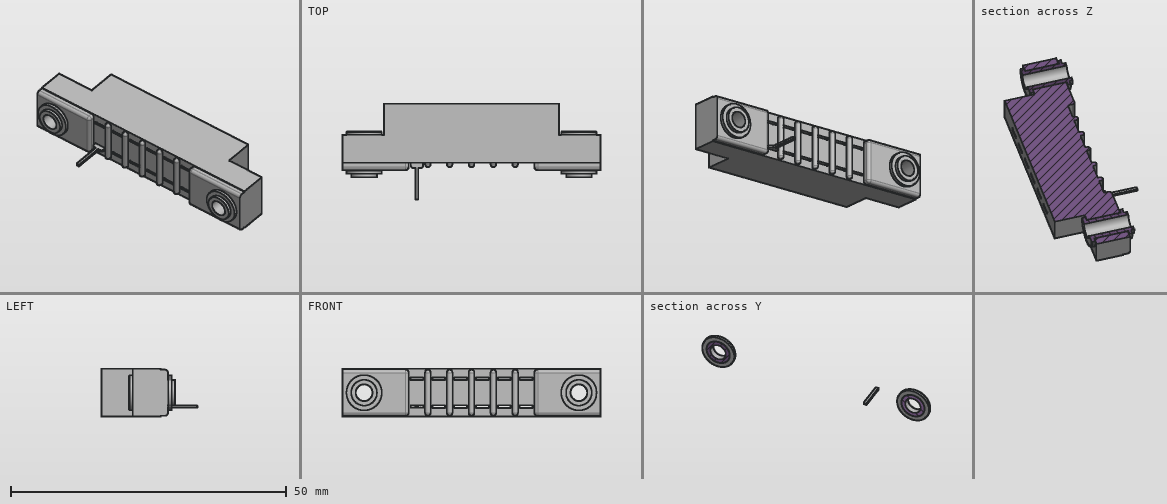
import cadquery as cq

LENGTH = 46.8
HEIGHT = 8.7
CARD_END_LENGTH = 31.72
BACK_Y = 10.7
EAR_BACK_Y = 5.05

PAD_LENGTH = 12.03
PAD_DEPTH = 1.35
PAD_INSET = 0.15
PAD_ROUND = 0.6

POSITION_COUNT = 6
ROW_LENGTH = 19.8
PITCH = ROW_LENGTH / (POSITION_COUNT - 1)
RIB_WIDTH = 1.05
RIB_DEPTH = 0.8
RIB_INSET = 0.2

SLOT_WIDTH = 2.25
SLOT_HEIGHT = 0.4
ROW_OFFSET = 2.55
CONTACT_HEAD_DEPTH = 1.0
CONTACT_HEAD_ROUND = 0.5
TAIL_WIDTH = 0.55
TAIL_END_Y = -6.7
TAIL_CHAMFER = 0.1

BUSHING_X = 19.45
BUSHING_DIAMETER = 4.7
BORE_DIAMETER = 3.0
FLANGE_DIAMETER = 6.4
BACK_FLANGE_THICKNESS = 0.7
FRONT_FLANGE_THICKNESS = 0.6
FRONT_FLANGE_GAP = 0.05
FLANGE_CHAMFER = 0.2
BUSHING_FRONT_Y = -2.6

contact_xs = [(i - (POSITION_COUNT - 1) / 2) * PITCH for i in range(POSITION_COUNT)]
rib_xs = [x + PITCH / 2 for x in contact_xs[:-1]]


def block(x_size, z_size, y_start, y_end):
    """Box centred on X and Z between two Y planes."""
    return cq.Workplane("XY").box(x_size, y_end - y_start, z_size).translate((0, (y_start + y_end) / 2, 0))


def cylinder(diameter, y_start, y_end):
    """Cylinder along Y between two Y planes."""
    return cq.Workplane("XZ", origin=(0, y_start, 0)).circle(diameter / 2).extrude(y_start - y_end)


def make_left_pad():
    """Pad whose inner corners and front edges, except at the outer end, are rounded."""
    pad = block(PAD_LENGTH, HEIGHT - 2 * PAD_INSET, -PAD_DEPTH, 0)
    pad = pad.edges("|Y and >X").fillet(PAD_ROUND)
    pad = pad.faces("<Y").edges("not <X").fillet(PAD_ROUND)
    return pad.translate(((PAD_LENGTH - LENGTH) / 2, 0, 0))


def make_rib():
    """Upright rib with a round front and domed ends."""
    radius = RIB_WIDTH / 2
    rib_height = HEIGHT - 2 * RIB_INSET
    straight_height = rib_height - RIB_WIDTH
    round_y = radius - RIB_DEPTH
    base = cq.Workplane("XZ").slot2D(rib_height, RIB_WIDTH, 90).extrude(-round_y)
    bar = cq.Workplane("XY").circle(radius).extrude(straight_height / 2, both=True)
    capsule = bar
    for end in (-1, 1):
        capsule = capsule.union(cq.Workplane("XY").sphere(radius).translate((0, 0, end * straight_height / 2)))
    return base.union(capsule.translate((0, round_y, 0)))


def make_housing():
    housing = block(LENGTH, HEIGHT, 0, EAR_BACK_Y).union(block(CARD_END_LENGTH, HEIGHT, 0, BACK_Y))

    left_pad = make_left_pad()
    housing = housing.union(left_pad).union(left_pad.mirror("YZ"))

    rib = make_rib()
    for x in rib_xs:
        housing = housing.union(rib.translate((x, 0, 0)))

    slot = block(SLOT_WIDTH, SLOT_HEIGHT, 0, BACK_Y)
    for x in contact_xs:
        for row in (-1, 1):
            housing = housing.cut(slot.translate((x, 0, row * ROW_OFFSET)))

    bushing_hole = cylinder(BUSHING_DIAMETER, -PAD_DEPTH, EAR_BACK_Y)
    for side in (-1, 1):
        housing = housing.cut(bushing_hole.translate((side * BUSHING_X, 0, 0)))
    return housing


def make_bushing(x):
    """Bored sleeve through an ear, with a flange in front of it and a flange behind it."""
    sleeve = cylinder(BUSHING_DIAMETER, BUSHING_FRONT_Y, EAR_BACK_Y)
    flange_rear_y = -PAD_DEPTH - FRONT_FLANGE_GAP
    front_flange = cylinder(FLANGE_DIAMETER, flange_rear_y - FRONT_FLANGE_THICKNESS, flange_rear_y)
    back_flange = cylinder(FLANGE_DIAMETER, EAR_BACK_Y, EAR_BACK_Y + BACK_FLANGE_THICKNESS)
    back_flange = back_flange.faces(">Y").chamfer(FLANGE_CHAMFER)
    bore = cylinder(BORE_DIAMETER, BUSHING_FRONT_Y, EAR_BACK_Y + BACK_FLANGE_THICKNESS)
    return sleeve.union(front_flange).union(back_flange).cut(bore).translate((x, 0, 0))


def make_contact(x):
    """Flat blade that fills its slot, with a round-cornered head and a narrow tail."""
    blade = block(SLOT_WIDTH, SLOT_HEIGHT, -CONTACT_HEAD_DEPTH, BACK_Y)
    blade = blade.edges("|Z and <Y").fillet(CONTACT_HEAD_ROUND)
    tail = block(TAIL_WIDTH, SLOT_HEIGHT, TAIL_END_Y, -CONTACT_HEAD_DEPTH)
    tail = tail.faces("<Y").chamfer(TAIL_CHAMFER)
    return blade.union(tail).translate((x, 0, -ROW_OFFSET))


housing = make_housing()
bushings = [make_bushing(side * BUSHING_X) for side in (-1, 1)]
contact = make_contact(contact_xs[0])

result = cq.Compound.makeCompound([housing.val(), *[bushing.val() for bushing in bushings], contact.val()])